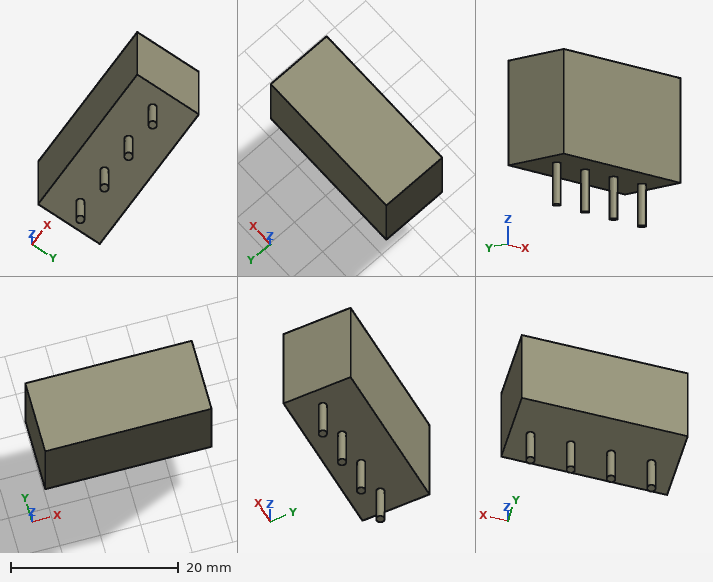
import cadquery as cq

housing_length = 20.6
housing_depth = 9.0
overall_height = 17.96

pin_count = 4
pin_diameter = 1.0
pin_length = 5.1
pin_pitch = 5.0
first_pin_x = 3.1
pin_row_y = 4.0

housing_height = overall_height - pin_length


def make_housing():
    """Plain block with one lower corner at the origin and its underside at Z = 0."""
    return cq.Workplane("XY").box(housing_length, housing_depth, housing_height, centered=False)


def make_pin(x):
    """Round pin hanging from the underside of the housing."""
    return cq.Workplane("XY").center(x, pin_row_y).circle(pin_diameter / 2).extrude(-pin_length)


housing = make_housing()
pins = [make_pin(first_pin_x + i * pin_pitch) for i in range(pin_count)]

result = cq.Compound.makeCompound([housing.val(), *[pin.val() for pin in pins]])